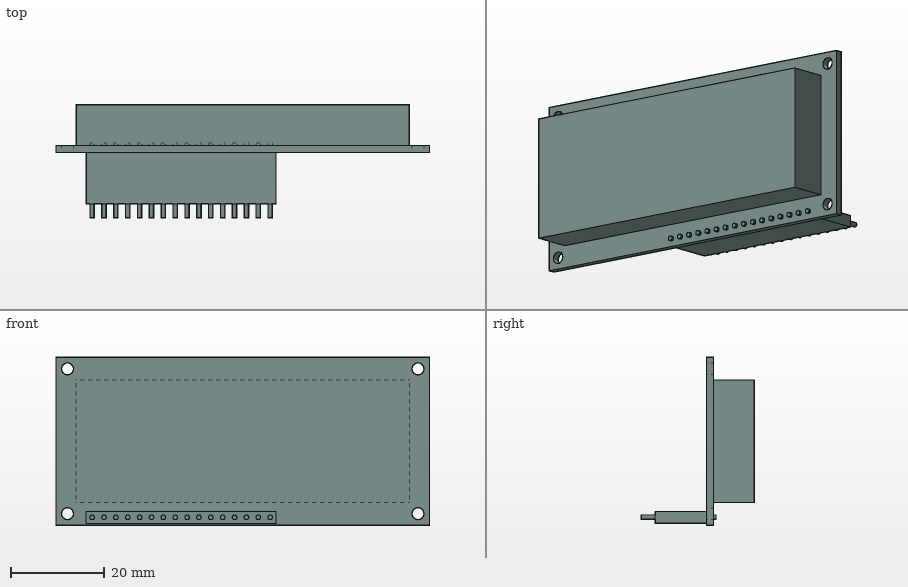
import cadquery as cq

BOARD_WIDTH = 80.0
BOARD_HEIGHT = 36.0
BOARD_THICKNESS = 1.6

HOLE_DIAMETER = 2.5
HOLE_INSET = 2.5

DISPLAY_WIDTH = 71.3
DISPLAY_HEIGHT = 26.3
DISPLAY_DEPTH = 8.7

PIN_COUNT = 16
PIN_PITCH = 2.54
PIN_DIAMETER = 1.0
PIN_FRONT_LENGTH = 3.0
PIN_BACK_LENGTH = 0.5
HEADER_LENGTH = PIN_COUNT * PIN_PITCH
HEADER_HEIGHT = PIN_PITCH
HEADER_DEPTH = 10.94
HEADER_LEFT = 6.5
HEADER_BOTTOM = 0.45

PIN_ROW_Z = HEADER_BOTTOM + HEADER_HEIGHT / 2
FIRST_PIN_X = HEADER_LEFT + PIN_PITCH / 2
PIN_TIP_Y = -HEADER_DEPTH - PIN_FRONT_LENGTH
PIN_LENGTH = PIN_FRONT_LENGTH + HEADER_DEPTH + BOARD_THICKNESS + PIN_BACK_LENGTH


def make_block(corner, width, depth, height):
    """Box spanning width (X), depth (Y) and height (Z) from its lowest corner."""
    return cq.Workplane("XY").box(width, depth, height, centered=False).translate(corner)


def make_rod(x, y, z, diameter, length):
    """Round rod starting at (x, y, z) and running along +Y."""
    rod = cq.Solid.makeCylinder(diameter / 2, length, cq.Vector(x, y, z), cq.Vector(0, 1, 0))
    return cq.Workplane(rod)


def make_board():
    board = make_block((0, 0, 0), BOARD_WIDTH, BOARD_THICKNESS, BOARD_HEIGHT)
    for x in (HOLE_INSET, BOARD_WIDTH - HOLE_INSET):
        for z in (HOLE_INSET, BOARD_HEIGHT - HOLE_INSET):
            board = board.cut(make_rod(x, 0, z, HOLE_DIAMETER, BOARD_THICKNESS))
    return board


def make_display():
    left = (BOARD_WIDTH - DISPLAY_WIDTH) / 2
    bottom = (BOARD_HEIGHT - DISPLAY_HEIGHT) / 2
    return make_block((left, BOARD_THICKNESS, bottom), DISPLAY_WIDTH, DISPLAY_DEPTH, DISPLAY_HEIGHT)


def make_header():
    """Header body with round pins running through it and the board."""
    corner = (HEADER_LEFT, -HEADER_DEPTH, HEADER_BOTTOM)
    header = make_block(corner, HEADER_LENGTH, HEADER_DEPTH, HEADER_HEIGHT)
    for i in range(PIN_COUNT):
        x = FIRST_PIN_X + i * PIN_PITCH
        header = header.union(make_rod(x, PIN_TIP_Y, PIN_ROW_Z, PIN_DIAMETER, PIN_LENGTH))
    return header


result = make_board().union(make_display()).union(make_header())